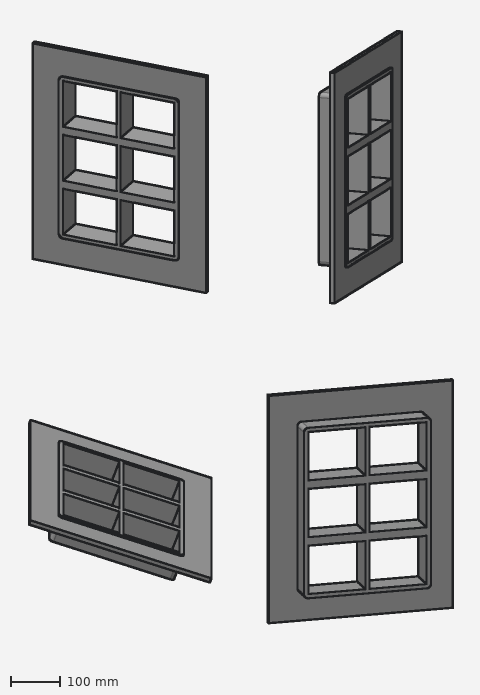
import cadquery as cq

plate_width = 391.0
plate_height = 483.0
plate_thickness = 10.0

body_width = 270.5
body_height = 362.2
body_depth = 60.0
body_corner_radius = 9.0
front_lip = 3.0

columns = 2
rows = 3
opening_width = 120.8
opening_height = 102.5
mullion_width = 9.0
rail_height = 18.5


def block_from_front(width, height, front, depth):
    """Block centred in X and Z, running from y = front towards +Y."""
    return cq.Workplane("XY").box(width, depth, height).translate((0, front + depth / 2, 0))


plate = block_from_front(plate_width, plate_height, 0, plate_thickness)

body = block_from_front(body_width, body_height, -front_lip, body_depth)
body = body.edges("|Y").fillet(body_corner_radius)

openings = (
    cq.Workplane("XZ", origin=(0, -front_lip, 0))
    .rarray(opening_width + mullion_width, opening_height + rail_height, columns, rows)
    .rect(opening_width, opening_height)
    .extrude(-body_depth)
)

result = plate.union(body).cut(openings)